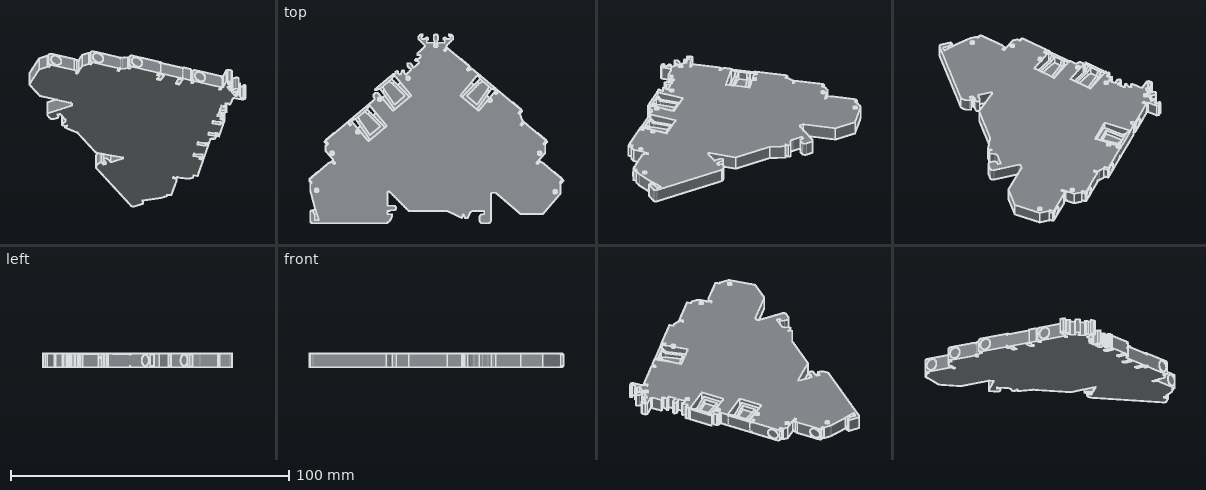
import cadquery as cq
import math

THICKNESS = 5.0
FLOOR_Z = 0.5
FLANK_ANGLE = 40.0
COS = math.cos(math.radians(FLANK_ANGLE))
SIN = math.sin(math.radians(FLANK_ANGLE))
RIGHT = 1
LEFT = -1

UPPER_OUT = 51.0
MIDDLE_OUT = 48.3
LOWER_OUT = 41.35
HEAD_STEP_START = -37.8
HEAD_STEP_END = -26.5
UPPER_STEP_START = -25.75
UPPER_STEP_END = -2.15
MIDDLE_STEP_START = 0.45
MIDDLE_STEP_END = 11.85
LOWER_STEP_START = 13.75
LOWER_STEP_END = 25.3
LEFT_MIDDLE_START = -11.6
UPPER_CHAMFER_START = -13.8
LEFT_LIMIT_X = -45.44
END_WALL = 1.5
OVERCUT = 0.5

STEP_ENDS = [
    (RIGHT, HEAD_STEP_END, UPPER_OUT),
    (RIGHT, UPPER_STEP_END, UPPER_OUT),
    (RIGHT, MIDDLE_STEP_END, MIDDLE_OUT),
    (RIGHT, LOWER_STEP_END, LOWER_OUT),
    (LEFT, MIDDLE_STEP_END, MIDDLE_OUT),
    (LEFT, LOWER_STEP_END, LOWER_OUT),
]
STEP_STARTS = [
    (RIGHT, HEAD_STEP_START, UPPER_OUT),
    (RIGHT, UPPER_CHAMFER_START, UPPER_OUT),
    (RIGHT, MIDDLE_STEP_START, MIDDLE_OUT),
    (RIGHT, LOWER_STEP_START, LOWER_OUT),
    (LEFT, MIDDLE_STEP_START, MIDDLE_OUT),
    (LEFT, LOWER_STEP_START, LOWER_OUT),
]

CHAMFER_RUN = 0.6
CHAMFER_DEPTH = 0.5

PAD_RADIUS = 2.0
PAD_HEIGHT = 0.15
PAD_ROOT = 0.5
PAD_FROM_END = 2.75

UPPER_TERMINAL = -18.5
MIDDLE_TERMINAL = -4.7
TERMINALS = [
    (LEFT, UPPER_TERMINAL, UPPER_OUT),
    (LEFT, MIDDLE_TERMINAL, MIDDLE_OUT),
    (RIGHT, UPPER_TERMINAL, UPPER_OUT),
]
POCKET_HALF = 4.3
POCKET_DEPTH = 10.1
OPENING_DEPTH = 4.0
BAR_TOP = 4.7
BAR_DEPTH = 1.0
BAR_END_DEPTH = 0.45
BAR_HALF = 4.5
CUP_TOP_HALF = 2.7
CUP_BOTTOM_HALF = 3.5
CUP_RIM_Z = 3.3
CUP_FLOOR_Z = 1.55
RAMP_END = 2.4
CAVITY_MOUTH_HALF = 1.5
CAVITY_RAMP_HALF = 1.87
CAVITY_BOTTOM_HALF = 2.45
CAVITY_BOTTOM = 8.75

HOLE_DIAMETER = 1.43
HOLE_FLOOR_DIAMETER = 0.9
HOLE_RECESS_DEPTH = 0.5
HOLE_DEPTH = 1.0
HOLES = [
    (0.0, 64.0),
    (-10.0, 52.2), (-20.2, 44.7), (-28.1, 32.9), (-37.3, 25.25), (-42.9, 11.9),
    (19.5, 44.3), (37.3, 25.25), (42.9, 11.4),
]
FOOT_POCKET = [(-44.4, 4.6), (-43.5, 3.1), (-43.5, 1.15), (-42.05, 1.15), (-43.3, 5.05), (-44.4, 5.3)]

DECK_Y = 65.05
DECK_HALF = 3.2
TOP_Y = 68.0
POST_HALF = 0.83
NECK_HALF = 0.55

BELLY_Y = 4.4
LEDGE_Y = 3.3
HEEL_X = -17.35
NOSE_X = -15.1
NOSE_TOP = 6.35
NOSE_LOW = 4.7
CLAW_OUTER_X = 19.87
CLAW_INNER_X = 15.7
LEFT_SIDE_X = -45.17


def flank(side, along, out):
    """World point of a flank coordinate on the right (1) or left (-1) flank."""
    return (side * (along * COS + out * SIN), out * COS - along * SIN)


def draw_lines(sketch, points):
    """Continue the outline straight through each point."""
    for point in points:
        sketch = sketch.lineTo(*point)
    return sketch


def draw_hook(sketch, side, from_deck):
    """One cable hook of the head, drawn outwards from the deck or inwards to it."""
    inner = [
        (DECK_HALF, DECK_Y), (DECK_HALF, 66.0), (2.72, 66.0), (2.72, 66.6),
        (3.15, 66.95), (3.72, 66.6), (4.06, 66.33), (4.6, 66.33),
    ]
    bight = (5.24, 66.8)
    outer = [(4.68, 67.43), (4.68, TOP_Y), (5.45, TOP_Y), (6.35, 67.15), (6.35, 66.4), (3.9, 63.95)]
    inner = [(side * x, y) for x, y in inner]
    outer = [(side * x, y) for x, y in outer]
    bight = (side * bight[0], bight[1])
    if not from_deck:
        inner, outer = outer[::-1], inner[::-1]
    sketch = draw_lines(sketch, inner).threePointArc(bight, outer[0])
    return draw_lines(sketch, outer[1:])


def draw_post(sketch):
    """Mushroom post in the middle of the head."""
    head_low = 66.1
    neck_top = 65.75
    arc_y = TOP_Y - POST_HALF
    rise = [(-NECK_HALF, DECK_Y), (-NECK_HALF, neck_top), (-POST_HALF, head_low), (-POST_HALF, arc_y)]
    fall = [(-x, y) for x, y in reversed(rise)]
    sketch = draw_lines(sketch, rise).threePointArc((0, TOP_Y), fall[0])
    return draw_lines(sketch, fall[1:])


def right_flank_points():
    """Stepped right flank, from the head down to the right wing."""
    return [
        flank(RIGHT, HEAD_STEP_START, UPPER_OUT),
        flank(RIGHT, HEAD_STEP_END, UPPER_OUT),
        flank(RIGHT, HEAD_STEP_END, UPPER_OUT - END_WALL),
        flank(RIGHT, UPPER_STEP_START, UPPER_OUT),
        flank(RIGHT, UPPER_STEP_END, UPPER_OUT),
        flank(RIGHT, UPPER_STEP_END, UPPER_OUT - END_WALL),
        (30.4, 39.1),
        (31.0, 37.3),
        flank(RIGHT, MIDDLE_STEP_START, MIDDLE_OUT),
        flank(RIGHT, MIDDLE_STEP_END, MIDDLE_OUT),
        flank(RIGHT, MIDDLE_STEP_END, MIDDLE_OUT - END_WALL),
        (39.4, 28.2),
        (39.4, 25.4),
        (37.2, 22.8),
        (37.6, 22.15),
        (38.5, 21.8),
        flank(RIGHT, LOWER_STEP_END, LOWER_OUT),
        flank(RIGHT, LOWER_STEP_END, LOWER_OUT - END_WALL),
        (44.92, 14.3),
    ]


def left_flank_points():
    """Stepped left flank, from the left wing up to the terminal beside the latches."""
    return [
        flank(LEFT, LOWER_STEP_END, LOWER_OUT - END_WALL),
        (LEFT_LIMIT_X, 15.2),
        (LEFT_LIMIT_X, 15.85),
        (-38.5, 21.8),
        (-37.5, 22.15),
        (-36.95, 22.9),
        (-39.7, 26.1),
        (-39.7, 27.9),
        flank(LEFT, MIDDLE_STEP_END, MIDDLE_OUT - END_WALL),
        flank(LEFT, MIDDLE_STEP_END, MIDDLE_OUT),
        flank(LEFT, LEFT_MIDDLE_START, MIDDLE_OUT),
        (-22.1, 45.0),
        (-22.5, 45.7),
        (-22.5, 46.3),
        (-21.65, 47.05),
        flank(LEFT, UPPER_TERMINAL + POCKET_HALF, UPPER_OUT - END_WALL),
        flank(LEFT, UPPER_TERMINAL + POCKET_HALF, UPPER_OUT),
        flank(LEFT, UPPER_TERMINAL - BAR_HALF, UPPER_OUT),
    ]


LATCHES = [
    (-14.65, 53.75), (-14.55, 54.5), (-13.9, 54.85), (-13.5, 54.5), (-13.65, 54.1), (-13.15, 53.5),
    (-12.6, 53.75), (-12.1, 55.1), (-11.6, 55.1), (-11.3, 54.8), (-11.45, 54.3), (-10.75, 53.45),
    (-8.8, 55.4), (-9.95, 56.15), (-10.2, 56.7), (-10.2, 57.6), (-9.1, 57.6), (-8.5, 56.9),
    (-8.05, 55.95), (-6.05, 57.75), (-6.5, 58.35), (-7.1, 58.35), (-7.5, 58.65), (-7.2, 59.2),
    (-7.0, 58.95), (-5.65, 59.55),
]
RIGHT_WING = [(44.92, 10.8), (38.5, LEDGE_Y), (30.5, LEDGE_Y), (21.5, 11.0), (20.4, 11.0)]
SPRING_TEETH = [(9.9, LEDGE_Y), (9.35, 1.93), (4.15, BELLY_Y), (-9.7, BELLY_Y), (-16.65, 11.4)]


def draw_underside(sketch):
    """Right wing, rail claw, spring teeth and the rail nose, drawn from right to left."""
    sketch = draw_lines(sketch, RIGHT_WING).threePointArc((20.03, 10.85), (CLAW_OUTER_X, 10.5))
    sketch = sketch.lineTo(CLAW_OUTER_X, 1.0).threePointArc((19.55, 0.3), (18.75, 0))
    sketch = sketch.lineTo(16.75, 0).threePointArc((16.0, 0.3), (CLAW_INNER_X, 1.0))
    sketch = sketch.lineTo(CLAW_INNER_X, 2.3).threePointArc((16.0, 3.0), (16.75, LEDGE_Y))
    sketch = draw_lines(sketch, [(17.35, LEDGE_Y), (17.35, BELLY_Y), (13.6, BELLY_Y)])
    sketch = sketch.threePointArc((12.73, 4.18), (12.25, 3.61))
    sketch = sketch.lineTo(11.55, 2.05).threePointArc((11.0, 1.82), (10.45, 2.0))
    sketch = draw_lines(sketch, SPRING_TEETH).threePointArc((-17.1, 11.45), (HEEL_X, 11.1))
    nose_radius = (NOSE_TOP - NOSE_LOW) / 2
    sketch = draw_lines(sketch, [(HEEL_X, NOSE_TOP), (NOSE_X, NOSE_TOP)])
    sketch = sketch.threePointArc((NOSE_X + nose_radius, NOSE_LOW + nose_radius), (NOSE_X, NOSE_LOW))
    sketch = draw_lines(sketch, [(-16.45, NOSE_LOW), (-16.6, BELLY_Y), (HEEL_X, BELLY_Y)])
    sketch = draw_lines(sketch, [(HEEL_X, LEDGE_Y), (-15.6, LEDGE_Y)])
    return sketch.lineTo(-15.75, 2.6).threePointArc((-16.5, 1.0), (-17.8, 0))


def draw_left_wing(sketch):
    """Left foot corner and the slanted side above it."""
    sketch = sketch.lineTo(-44.3, 0).threePointArc((-44.9, 0.25), (LEFT_SIDE_X, 0.8))
    sketch = draw_lines(sketch, [(LEFT_SIDE_X, 4.4), (-44.9, 4.6), (-43.4, 5.05)])
    return draw_lines(sketch, [(LEFT_SIDE_X, 11.7), (LEFT_SIDE_X, 14.1)])


def make_plate():
    """Full plate, drawn clockwise from the left end of the head deck."""
    sketch = cq.Workplane("XY").moveTo(-DECK_HALF, DECK_Y)
    sketch = draw_post(sketch)
    sketch = draw_hook(sketch, RIGHT, True)
    sketch = draw_lines(sketch, right_flank_points())
    sketch = draw_underside(sketch)
    sketch = draw_left_wing(sketch)
    sketch = draw_lines(sketch, left_flank_points() + LATCHES)
    sketch = sketch.threePointArc((-5.5, 60.1), (-5.85, 60.55))
    sketch = draw_lines(sketch, [(-6.65, 60.55), (-6.65, 61.1), (-4.15, 63.4)])
    sketch = draw_hook(sketch, LEFT, False)
    return sketch.close().extrude(THICKNESS)


def prism(side, along, out, points, z_low, z_high):
    """Prism over (across, depth) points, depth measured inwards from a flank face."""
    outline = [flank(side, along + across, out - depth) for across, depth in points]
    return cq.Workplane("XY").workplane(offset=z_low).polyline(outline).close().extrude(z_high - z_low)


def mirrored(half_points):
    """Close a half outline given as (half width, depth) from top to bottom."""
    return half_points + [(-half, depth) for half, depth in reversed(half_points)]


def flank_plane(side, along, out):
    """Plane across the flank: local x is depth into the part, local y is Z."""
    x, y = flank(side, along, out)
    return cq.Plane(origin=(x, y, 0), xDir=(-side * SIN, -COS, 0), normal=(-COS, side * SIN, 0))


def add_terminal(body, side, along, out):
    """Pocket with a through opening, a bar across its mouth and a raised trapezoid cup."""
    def local_prism(half_points, z_low, z_high):
        return prism(side, along, out, mirrored(half_points), z_low, z_high)

    mouth = [(POCKET_HALF, -OVERCUT), (POCKET_HALF, OPENING_DEPTH)]
    body = body.cut(local_prism(mouth, 0, THICKNESS))
    pocket = [(POCKET_HALF, OPENING_DEPTH), (POCKET_HALF, POCKET_DEPTH)]
    body = body.cut(local_prism(pocket, FLOOR_Z, THICKNESS))

    bar = [(BAR_HALF, 0), (POCKET_HALF, BAR_END_DEPTH), (CUP_TOP_HALF, BAR_DEPTH)]
    cup = [(CUP_TOP_HALF, BAR_DEPTH), (CUP_BOTTOM_HALF, POCKET_DEPTH)]
    cavity = [
        (CAVITY_MOUTH_HALF, BAR_DEPTH),
        (CAVITY_RAMP_HALF, RAMP_END),
        (CAVITY_BOTTOM_HALF, CAVITY_BOTTOM),
    ]
    above_rim = (
        cq.Workplane(flank_plane(side, along, out))
        .moveTo(BAR_DEPTH, BAR_TOP)
        .lineTo(RAMP_END, CUP_RIM_Z)
        .lineTo(POCKET_DEPTH, CUP_RIM_Z)
        .lineTo(POCKET_DEPTH, BAR_TOP)
        .close()
        .extrude(POCKET_HALF, both=True)
    )
    cup_solid = local_prism(cup, 0, BAR_TOP).cut(above_rim).cut(local_prism(cavity, CUP_FLOOR_Z, BAR_TOP))
    return body.union(local_prism(bar, 0, BAR_TOP)).union(cup_solid)


def chamfer_step_end(body, side, along, out, direction):
    """Chamfer both faces at a step end; the cut deepens in the given along direction."""
    x, y = flank(side, along, out + OVERCUT)
    section = cq.Plane(origin=(x, y, 0), xDir=(side * COS, -SIN, 0), normal=(-SIN, -side * COS, 0))
    shallow_end = -direction * CHAMFER_RUN
    for z_face, z_deep in [(THICKNESS, THICKNESS - CHAMFER_DEPTH), (0, CHAMFER_DEPTH)]:
        wedge = cq.Workplane(section).polyline([(0, z_face), (shallow_end, z_face), (0, z_deep)]).close()
        body = body.cut(wedge.extrude(side * (END_WALL + OVERCUT)))
    return body


def add_pad(body, side, step_end, out):
    """Low round pad standing on a step near its end, centred in the thickness."""
    x, y = flank(side, step_end - PAD_FROM_END, out - PAD_ROOT)
    plane = cq.Plane(origin=(x, y, THICKNESS / 2), xDir=(0, 0, 1), normal=(side * SIN, COS, 0))
    return body.union(cq.Workplane(plane).circle(PAD_RADIUS).extrude(PAD_ROOT + PAD_HEIGHT))


def cut_holes(body):
    """Blind stepped holes in the top face."""
    for diameter, depth in [(HOLE_DIAMETER, HOLE_RECESS_DEPTH), (HOLE_FLOOR_DIAMETER, HOLE_DEPTH)]:
        floor = cq.Workplane("XY").workplane(offset=THICKNESS - depth)
        body = body.cut(floor.pushPoints(HOLES).circle(diameter / 2).extrude(depth))
    return body


def cut_foot_pocket(body):
    """Tapered pocket at the left foot, open to the side."""
    pocket = cq.Workplane("XY").workplane(offset=FLOOR_Z).polyline(FOOT_POCKET).close()
    return body.cut(pocket.extrude(THICKNESS - FLOOR_Z))


body = make_plate()
for side, along, out in TERMINALS:
    body = add_terminal(body, side, along, out)

for side, along, out in STEP_ENDS:
    body = chamfer_step_end(body, side, along, out, 1)
    body = add_pad(body, side, along, out)
for side, along, out in STEP_STARTS:
    body = chamfer_step_end(body, side, along, out, -1)

body = cut_holes(body)
result = cut_foot_pocket(body)